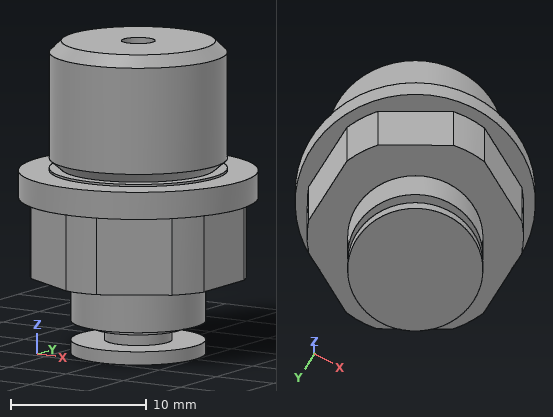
import cadquery as cq

TOTAL_HEIGHT = 23.5
DISC_TOP = 1.0
STEM_TOP = 2.0
STEP_TOP = 2.45
SLEEVE_TOP = 5.75
HEX_TOP = 11.7
FLANGE_TOP = 13.75
COLLAR_TOP = 13.91

SLEEVE_DIAMETER = 10.0
STEM_DIAMETER = 5.0
STEP_DIAMETER = 7.0
FLANGE_DIAMETER = 17.8
PLUG_DIAMETER = 13.2
PLUG_END_DIAMETER = 11.45
BORE_DIAMETER = 2.5

HEX_ACROSS_FLATS = 15.0
HEX_CORNER_DIAMETER = 16.0

TOP_BEVEL_HEIGHT = 0.85
BOTTOM_BEVEL_HEIGHT = 0.75


def cylinder(diameter, bottom, top):
    """Cylinder on the Z axis between two levels."""
    return cq.Workplane("XY").workplane(offset=bottom).circle(diameter / 2).extrude(top - bottom)


def hexagon_body():
    """Hexagon with flats facing +X and -X, its corners trimmed by a cylinder."""
    height = HEX_TOP - SLEEVE_TOP
    prism = (
        cq.Workplane("XY")
        .workplane(offset=SLEEVE_TOP)
        .polygon(6, HEX_ACROSS_FLATS, circumscribed=True)
        .extrude(height)
    )
    return prism.intersect(cylinder(HEX_CORNER_DIAMETER, SLEEVE_TOP, HEX_TOP))


def plug():
    """Upper cylinder with a conical bevel at each end."""
    radius = PLUG_DIAMETER / 2
    end_radius = PLUG_END_DIAMETER / 2
    profile = [
        (0, COLLAR_TOP),
        (end_radius, COLLAR_TOP),
        (radius, COLLAR_TOP + BOTTOM_BEVEL_HEIGHT),
        (radius, TOTAL_HEIGHT - TOP_BEVEL_HEIGHT),
        (end_radius, TOTAL_HEIGHT),
        (0, TOTAL_HEIGHT),
    ]
    return cq.Workplane("XZ").polyline(profile).close().revolve(360, (0, 0, 0), (0, 1, 0))


result = (
    cylinder(SLEEVE_DIAMETER, 0, DISC_TOP)
    .union(cylinder(STEM_DIAMETER, DISC_TOP, STEM_TOP))
    .union(cylinder(STEP_DIAMETER, STEM_TOP, STEP_TOP))
    .union(cylinder(SLEEVE_DIAMETER, STEP_TOP, SLEEVE_TOP))
    .union(hexagon_body())
    .union(cylinder(FLANGE_DIAMETER, HEX_TOP, FLANGE_TOP))
    .union(cylinder(PLUG_DIAMETER, FLANGE_TOP, COLLAR_TOP))
    .union(plug())
)

result = result.cut(cylinder(BORE_DIAMETER, FLANGE_TOP, TOTAL_HEIGHT))